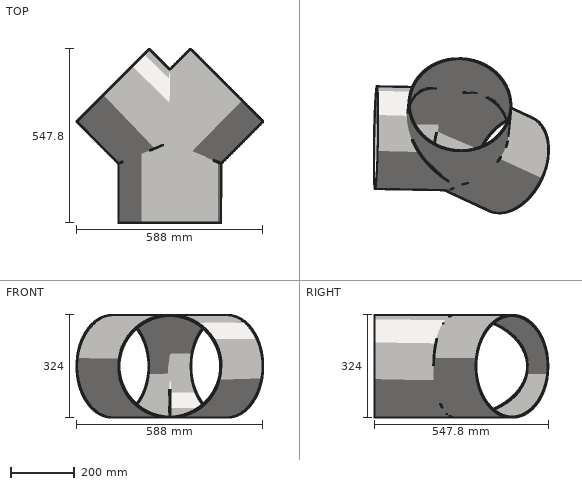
import cadquery as cq
import math

overall_width = 588.0
outer_diameter = 324.0
inner_diameter = 317.5
branch_angle = 45.0
outside_seam_radius = 3.25

wall = (outer_diameter - inner_diameter) / 2
inside_seam_radius = outside_seam_radius + wall

lean = math.radians(branch_angle)
branch_rim_reach = outer_diameter / 2 * math.cos(lean)
leg_length = (overall_width / 2 - branch_rim_reach) / math.sin(lean)

inlet_heading = -90.0
right_heading = 90.0 - branch_angle
left_heading = 90.0 + branch_angle

right_seam = (inlet_heading + right_heading) / 2
crotch_seam = (right_heading + left_heading) / 2
left_seam = 2 * crotch_seam - right_seam

legs = (
    (inlet_heading, left_seam, right_seam),
    (right_heading, right_seam, crotch_seam),
    (left_heading, crotch_seam, left_seam),
)


def direction(heading):
    """Horizontal unit vector pointing along a heading."""
    angle = math.radians(heading)
    return cq.Vector(math.cos(angle), math.sin(angle), 0)


def mitred_leg(diameter, heading, first_seam, last_seam):
    """Solid round leg, cut back to the two seam planes through the junction."""
    axis = direction(heading)
    rod = cq.Solid.makeCylinder(diameter / 2, leg_length, cq.Vector(), axis)

    wedge_reach = 2 * overall_width
    corners = [direction(h) * wedge_reach for h in (first_seam, heading, last_seam)]
    wedge = (
        cq.Workplane("XY")
        .polyline([(0, 0)] + [(corner.x, corner.y) for corner in corners])
        .close()
        .extrude(outer_diameter, both=True)
    )
    return wedge.intersect(cq.Workplane(rod))


def joined_legs(diameter, seam_radius):
    """Solid Y of three round legs with its elliptical seams rounded."""
    body = cq.Workplane("XY")
    for heading, first_seam, last_seam in legs:
        body = body.union(mitred_leg(diameter, heading, first_seam, last_seam))
    solid = body.val()
    seams = [edge for edge in solid.Edges() if edge.geomType() == "ELLIPSE"]
    return solid.fillet(seam_radius, seams)


outside = joined_legs(outer_diameter, outside_seam_radius)
bore = joined_legs(inner_diameter, inside_seam_radius)
result = cq.Workplane(outside.cut(bore).Solids()[0])